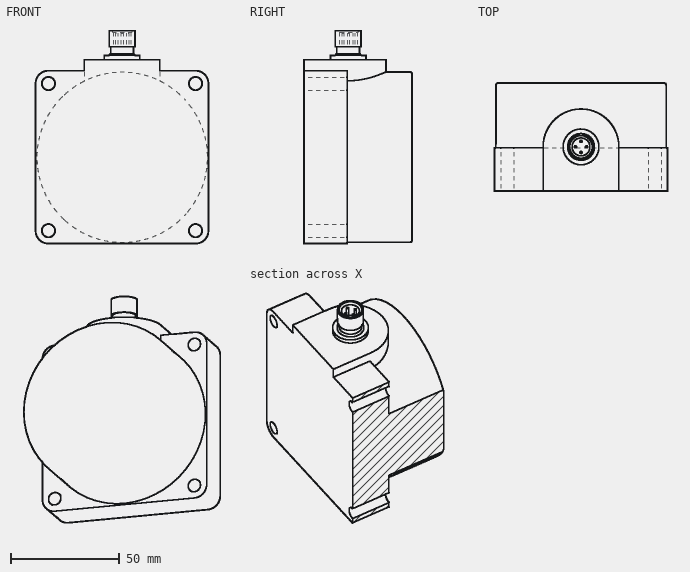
import cadquery as cq

plate_side = 80.0
plate_depth = 20.0
corner_radius = 6.0
hole_diameter = 6.0
hole_spacing = plate_side - 2 * corner_radius
total_depth = 50.0
drum_radius = 39.4
drum_edge_radius = 1.0

boss_radius = 17.5
boss_axis_y = 20.5
boss_rise = 5.0
boss_top = plate_side / 2 + boss_rise

total_height = 98.5
connector_height = total_height - plate_side - boss_rise
flange_radius = 8.3
flange_top = 2.0
cone_radius = 6.2
cone_top = flange_top + 0.9
neck_radius = 5.3
neck_top = cone_top + 3.1
barrel_radius = 6.0
socket_radius = 4.1
socket_mouth_radius = 5.2
socket_mouth_depth = 0.9
socket_floor = neck_top

pin_count = 4
pin_radius = 0.5
pin_circle_radius = 2.6
pin_recess = 1.2
pin_top = connector_height - pin_recess


def make_plate():
    """Rounded square plate with a through hole at each corner."""
    plate = (
        cq.Workplane("XZ")
        .rect(plate_side, plate_side)
        .extrude(-plate_depth)
        .edges("|Y")
        .fillet(corner_radius)
    )
    holes = (
        cq.Workplane("XZ")
        .rect(hole_spacing, hole_spacing, forConstruction=True)
        .vertices()
        .circle(hole_diameter / 2)
        .extrude(-plate_depth)
    )
    return plate.cut(holes)


def make_drum():
    """Round drum reaching from the plate to the rear, with a rounded rear rim."""
    return (
        cq.Workplane("XZ", origin=(0, plate_depth, 0))
        .circle(drum_radius)
        .extrude(-(total_depth - plate_depth))
        .faces(">Y")
        .edges()
        .fillet(drum_edge_radius)
    )


def make_boss():
    """Arch-shaped block, starting inside the drum and ending above the plate."""
    return (
        cq.Workplane("XY")
        .moveTo(-boss_radius, 0)
        .lineTo(boss_radius, 0)
        .lineTo(boss_radius, boss_axis_y)
        .threePointArc((0, boss_axis_y + boss_radius), (-boss_radius, boss_axis_y))
        .close()
        .extrude(boss_top)
    )


def make_housing():
    return make_plate().union(make_drum()).union(make_boss())


def make_connector():
    """Turned connector with a countersunk socket and pins rising from its floor."""
    profile = [
        (0, 0),
        (flange_radius, 0),
        (flange_radius, flange_top),
        (cone_radius, flange_top),
        (neck_radius, cone_top),
        (neck_radius, neck_top),
        (barrel_radius, neck_top),
        (barrel_radius, connector_height),
        (socket_mouth_radius, connector_height),
        (socket_radius, connector_height - socket_mouth_depth),
        (socket_radius, socket_floor),
        (0, socket_floor),
    ]
    shell = cq.Workplane("XZ").polyline(profile).close().revolve(360, (0, 0), (0, 1))
    pins = (
        cq.Workplane("XY")
        .polarArray(pin_circle_radius, 0, 360, pin_count)
        .circle(pin_radius)
        .extrude(pin_top)
    )
    return shell.union(pins).translate((0, boss_axis_y, boss_top))


housing = make_housing()
connector = make_connector()
result = cq.Compound.makeCompound([housing.solids().val(), connector.solids().val()])